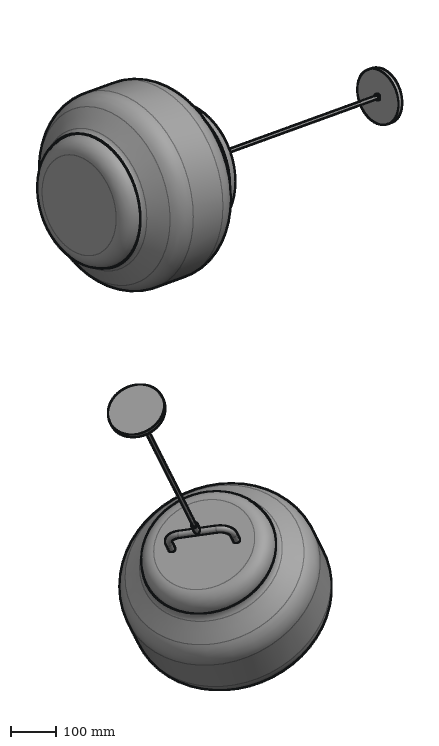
import cadquery as cq
import math

TOTAL_HEIGHT = 946

CAP_RADIUS = 153.0
CAP_ROUND = 38.0
BODY_HEIGHT = 357.0
SHADE_RADIUS = 228.4
SHADE_MIDDLE = 174.0
BAND_HALF_HEIGHT = 46.0
SHOULDER_RADIUS = 60.5
CONE_ANGLE = math.radians(53)
CONE_HEIGHT = 31.0
NECK_FILLET = 23.0
LOWER_NECK_HEIGHT = 11.0
UPPER_NECK_HEIGHT = 18.0

TUBE_RADIUS = 8.0
HANDLE_HALF_WIDTH = 74.0
HANDLE_TOP = 413.0
HANDLE_BEND = 30.0
LEG_EMBED = 9.0
FERRULE_RADIUS = 8.0
FERRULE_LENGTH = 29.0
CORD_RADIUS = 4.3
PLATE_RADIUS = 64.0
PLATE_THICKNESS = 12.0
COLLAR_RADIUS = 8.0
COLLAR_THICKNESS = 3.0


def cylinder_along_y(radius, start, end):
    return cq.Workplane("XZ", origin=(0, start, 0)).circle(radius).extrude(start - end)


def end_cap(bottom, rounded_face):
    """Solid disc with one rounded rim, selected by its end face."""
    cap = cylinder_along_y(CAP_RADIUS, bottom, bottom + BODY_HEIGHT / 2)
    return cap.faces(rounded_face).edges().fillet(CAP_ROUND)


def shade_half(side, neck_height):
    """Half of the shade, from its middle plane outward; side is +1 up or -1 down."""
    band_end = BAND_HALF_HEIGHT
    shoulder_center = SHADE_RADIUS - SHOULDER_RADIUS

    def shoulder(angle):
        radius = shoulder_center + SHOULDER_RADIUS * math.cos(angle)
        return radius, SHADE_MIDDLE + side * (band_end + SHOULDER_RADIUS * math.sin(angle))

    cone_start = shoulder(CONE_ANGLE)
    cone_end = (
        cone_start[0] - CONE_HEIGHT * math.tan(CONE_ANGLE),
        cone_start[1] + side * CONE_HEIGHT,
    )

    neck_angle = math.asin(math.sin(CONE_ANGLE) - neck_height / NECK_FILLET)

    def neck(angle):
        radius = cone_end[0] - NECK_FILLET * (math.cos(angle) - math.cos(CONE_ANGLE))
        height = NECK_FILLET * (math.sin(CONE_ANGLE) - math.sin(angle))
        return radius, cone_end[1] + side * height

    neck_end = neck(neck_angle)
    return (
        cq.Workplane("XY")
        .moveTo(0, SHADE_MIDDLE)
        .lineTo(SHADE_RADIUS, SHADE_MIDDLE)
        .lineTo(*shoulder(0))
        .threePointArc(shoulder(CONE_ANGLE / 2), cone_start)
        .lineTo(*cone_end)
        .threePointArc(neck((CONE_ANGLE + neck_angle) / 2), neck_end)
        .lineTo(0, neck_end[1])
        .close()
        .revolve(360, (0, 0, 0), (0, 1, 0))
    )


def lamp_body():
    caps = end_cap(0, "<Y").union(end_cap(BODY_HEIGHT / 2, ">Y"))
    shade = shade_half(-1, LOWER_NECK_HEIGHT).union(shade_half(1, UPPER_NECK_HEIGHT))
    return caps.union(shade)


def handle():
    leg_start = BODY_HEIGHT - LEG_EMBED
    bend_start = HANDLE_TOP - HANDLE_BEND
    bar_end = HANDLE_HALF_WIDTH - HANDLE_BEND
    path = (
        cq.Workplane("XY")
        .moveTo(-HANDLE_HALF_WIDTH, leg_start)
        .lineTo(-HANDLE_HALF_WIDTH, bend_start)
        .radiusArc((-bar_end, HANDLE_TOP), HANDLE_BEND)
        .lineTo(bar_end, HANDLE_TOP)
        .radiusArc((HANDLE_HALF_WIDTH, bend_start), HANDLE_BEND)
        .lineTo(HANDLE_HALF_WIDTH, leg_start)
    )
    section = cq.Workplane("XZ", origin=(-HANDLE_HALF_WIDTH, leg_start, 0)).circle(TUBE_RADIUS)
    return section.sweep(path)


def suspension():
    plate_bottom = TOTAL_HEIGHT - PLATE_THICKNESS
    ferrule = cylinder_along_y(FERRULE_RADIUS, HANDLE_TOP, HANDLE_TOP + FERRULE_LENGTH)
    cord = cylinder_along_y(CORD_RADIUS, HANDLE_TOP, TOTAL_HEIGHT)
    collar = cylinder_along_y(COLLAR_RADIUS, plate_bottom - COLLAR_THICKNESS, TOTAL_HEIGHT)
    plate = cylinder_along_y(PLATE_RADIUS, plate_bottom, TOTAL_HEIGHT)
    return ferrule.union(cord).union(collar).union(plate)


result = lamp_body().union(handle()).union(suspension())